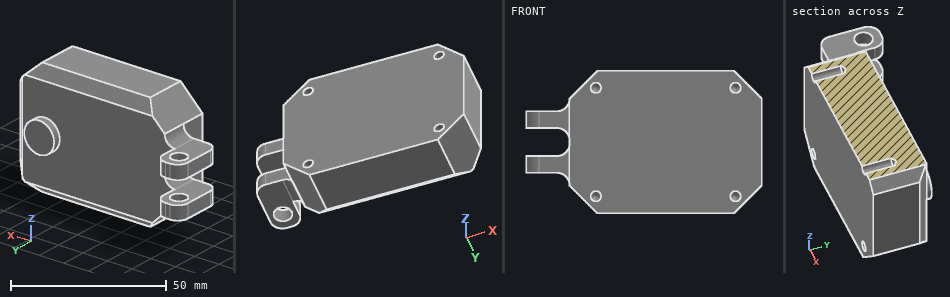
import cadquery as cq
import math

total_length = 76.0
total_depth = 30.0
body_height = 46.0
body_length = 62.0
body_depth = 20.0
corner_cut = 9.0
rear_chamfer = 4.0

lug_reach = total_length - body_length
root_radius = 4.0
lug_width = lug_reach - root_radius
lug_thickness = 5.5
lug_gap = 9.0
lug_front = 10.0
lug_corner_radius = 4.0
pin_diameter = 6.0
pin_to_back = 6.0

boss_diameter = 12.15
boss_height = 3.0
boss_x = 62.85

screw_diameter = 3.35
screw_depth = 10.0
drill_point_angle = 118.0
screw_inset_x = 8.5
screw_z = 17.5


def box(x_range, y_range, z_range):
    """Box spanning the given (low, high) ranges."""
    lows, highs = zip(x_range, y_range, z_range)
    sizes = [high - low for low, high in zip(lows, highs)]
    return cq.Workplane("XY").box(*sizes, centered=False).translate(lows)


def housing():
    """Octagonal block with three rear edges chamfered; the hinge side stays square."""
    half_height = body_height / 2
    block = box((lug_reach, total_length), (0, body_depth), (-half_height, half_height))
    chamfered = block.faces(">Y").edges(">X or >Z or <Z").chamfer(rear_chamfer)
    octagon = block.edges("|Y").chamfer(corner_cut)
    return chamfered.intersect(octagon)


def lug(z_center):
    """Upright plate with a pin hole and a root flaring into the housing."""
    z_low = z_center - lug_thickness / 2
    z_high = z_center + lug_thickness / 2
    plate = (
        box((0, lug_width), (lug_front, total_depth), (z_low, z_high))
        .edges("|Z and (<X or >Y)")
        .fillet(lug_corner_radius)
    )
    pin = (
        cq.Workplane("XY", origin=(lug_width / 2, total_depth - pin_to_back, z_low))
        .circle(pin_diameter / 2)
        .extrude(lug_thickness)
    )
    root = box(
        (lug_width, lug_reach),
        (lug_front, body_depth),
        (z_low - root_radius, z_high + root_radius),
    )
    for z_arc in (z_low - root_radius, z_high + root_radius):
        flare_cut = (
            cq.Workplane("XZ", origin=(lug_width, body_depth, z_arc))
            .circle(root_radius)
            .extrude(body_depth - lug_front)
        )
        root = root.cut(flare_cut)
    return plate.cut(pin).union(root)


def boss():
    """Disc standing on the rear face."""
    return (
        cq.Workplane("XZ", origin=(boss_x, body_depth + boss_height, 0))
        .circle(boss_diameter / 2)
        .extrude(boss_height)
    )


def screw_hole(x, z):
    """Drilled hole, revolved about its axis along Y."""
    radius = screw_diameter / 2
    point_length = radius / math.tan(math.radians(drill_point_angle / 2))
    return (
        cq.Workplane("XY", origin=(x, 0, z))
        .polyline([(0, 0), (radius, 0), (radius, screw_depth), (0, screw_depth + point_length)])
        .close()
        .revolve(360, (0, 0, 0), (0, 1, 0))
    )


lug_offset = (lug_gap + lug_thickness) / 2

result = housing().union(boss())
for side in (-1, 1):
    result = result.union(lug(side * lug_offset))
    for screw_x in (lug_reach + screw_inset_x, total_length - screw_inset_x):
        result = result.cut(screw_hole(screw_x, side * screw_z))